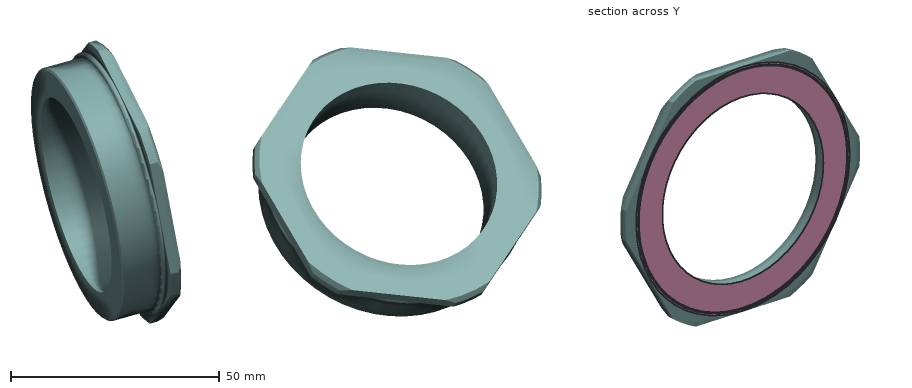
import cadquery as cq
import math

corner_diameter = 70.95
across_flats = 65.0
seal_outer_diameter = 65.4
total_length = 14.0

flange_thickness = 3.0
corner_chamfer = 1.0
barrel_radius = 31.5
barrel_chamfer = 0.4
bore_radius = 24.3
seal_section_radius = 0.7

corner_radius = corner_diameter / 2
seal_center_radius = seal_outer_diameter / 2 - seal_section_radius
barrel_length = total_length - flange_thickness


def cylinder(radius, start, length):
    """Cylinder along Y, growing from start toward +Y."""
    plane = cq.Plane(origin=(0, start, 0), xDir=(1, 0, 0), normal=(0, 1, 0))
    return cq.Workplane(plane).circle(radius).extrude(length)


def hex_flange():
    """Hexagon with corners turned round and chamfered on the outer face."""
    point_diameter = across_flats / math.cos(math.pi / 6)
    hexagon = (
        cq.Workplane("XZ", origin=(0, barrel_length, 0))
        .polygon(6, point_diameter)
        .extrude(-flange_thickness)
    )
    turned_blank = cylinder(corner_radius, barrel_length, flange_thickness)
    return hexagon.intersect(turned_blank.faces(">Y").chamfer(corner_chamfer))


def barrel():
    """Round barrel with a small chamfer at its free end."""
    return cylinder(barrel_radius, 0, barrel_length).faces("<Y").chamfer(barrel_chamfer)


def seal_ring():
    """Round-section ring around the barrel, resting against the flange."""
    center = cq.Vector(0, barrel_length - seal_section_radius, 0)
    ring = cq.Solid.makeTorus(seal_center_radius, seal_section_radius, center, cq.Vector(0, 1, 0))
    return cq.Workplane(ring)


bore = cylinder(bore_radius, 0, total_length)
result = barrel().union(seal_ring()).union(hex_flange()).cut(bore)